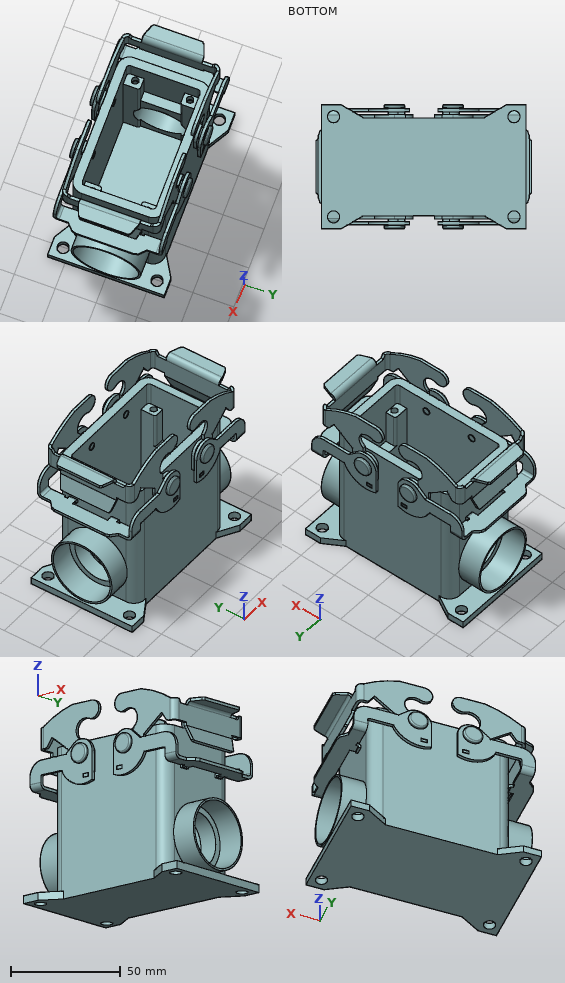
import cadquery as cq
import math

BODY_HALF_X = 34.8
BODY_HALF_Y = 22.5
BODY_TOP = 72.6
BODY_CORNER = 6.0
CAVITY_HALF_X = 30.7
CAVITY_HALF_Y = 18.0
CAVITY_CORNER = 1.6
FLOOR = 3.8
LEDGE_TOP = 41.6
LEDGE_FACE_LEFT = -25.9
LEDGE_FACE_RIGHT = 24.9

POST_TOP = 60.5
POST_FACE_X = 24.9
POST_FACE_Y = 9.9
POST_ROUND = 1.2
SCREW_X = 28.4
SCREW_Y = 13.4
SCREW_RADIUS = 1.7
SCREW_CORE_RADIUS = 1.4
SCREW_LEAD_DEPTH = 4.9
SCREW_DEPTH = 11.9

FOOT_HALF_X = 46.9
FOOT_HALF_Y = 28.5
FOOT_THICK = 3.8
FOOT_TAPER_OUTER_X = 37.9
FOOT_TAPER_INNER_X = 27.6
FOOT_HOLE_INSET = 5.5
FOOT_HOLE_RADIUS = 2.8

ENTRY_Z = 22.0
ENTRY_RADIUS = 17.0
ENTRY_BORE_RADIUS = 16.0
ENTRY_BORE_DEPTH = 12.9
PASSAGE_RADIUS = 13.1

SHEET = 1.5
BEND = 3.0
HOOK_HALF_Y = BODY_HALF_Y + SHEET
GRIP_HALF_Y = 26.6

PIVOT_X = -13.5
PIVOT_Z = 65.8
PIN_RADIUS = 2.9
PIN_HEAD_RADIUS = 4.8
PIN_HEAD_THICK = 1.5
PIN_HEAD_ROUND = 0.7
PIN_END_RADIUS = 1.9
PIN_END_RECESS = 0.4

HOOK_TOP = 91.0
TIP_RADIUS = 4.4
CATCH_RADIUS = 5.2
CATCH_Z = 77.9
HOOK_WALL_X = -41.7
HOOK_WALL_TOP = 83.3
HOOK_WALL_BOTTOM = 73.0
HOOK_HUB_RADIUS = 5.1
HOOK_TAIL_Z = 57.1
HOOK_ARM_X = -22.6
HOOK_NECK_X = -16.2
HOOK_NECK_TOP = 73.2
CATCH_END_ANGLE = 230
TIP_X = -9.2
BACK_START = (-38.9, HOOK_WALL_TOP)
BACK_MIDDLE = (-30.3, 88.0)
BACK_END = (-21.1, HOOK_TOP)
UNDERCUT_LOW = (HOOK_ARM_X, 69.1)
UNDERCUT_PEAK = (-33.6, 77.4)
HEEL_TOP = (-36.0, 73.9)
HEEL_MIDDLE = (-36.6, 73.3)
HEEL_END = (-37.5, HOOK_WALL_BOTTOM)
TAIL_MIDDLE = (-19.7, 59.7)

THUMB_END_X = -49.5
THUMB_TOP = 84.3
THUMB_BEND_X = HOOK_WALL_X + SHEET - BEND
THUMB_BEND_Z = THUMB_TOP - BEND
THUMB_END_HALF_Y = 12.9
THUMB_ROOT_HALF_Y = 14.8
THUMB_CLIP = 1.0
NOTCH_TOP_HALF_Y = 20.9
NOTCH_FLOOR_HALF_Y = 19.7
FLAP_ROOT_Z = 71.5
FLAP_END_X = -44.4
FLAP_END_Z = 64.3
FLAP_ROOT_HALF_Y = 15.7
FLAP_END_HALF_Y = 14.0
FLAP_CLIP = 1.0

GRIP_HUB_RADIUS = 6.9
GRIP_TAIL_CENTER = (-12.1, 65.5)
GRIP_TAIL_RADIUS = 14.4
ARM_TOP = 67.0
ARM_BOTTOM = 59.9
ARM_OUTER_X = -44.6
ARM_INNER_X = -37.9
ARM_CORNER = 7.2
ARM_INNER_ROUND = 0.8
ARM_JOIN_X = -22.7
GRIP_BOTTOM = 53.4
GRIP_LIP_X = -48.4
GRIP_LIP_HALF_Y = 16.3
GRIP_LIP_CLIP_X = 0.7
GRIP_LIP_CLIP_Y = 2.1
GRIP_LIP_ROOT_Y = 19.2
GRIP_MID_X = -40.3
GRIP_NOTCH_X = -38.7
GRIP_NOTCH_HALF_Y = 15.5
TAB_INNER_Y = 9.8
TAB_OUTER_Y = 13.9
TAB_END_X = -36.3
TAB_BOTTOM = 52.8
TAB_BEND = 1.2

LUG_X_MIN = -11.9
LUG_X_MAX = -8.7
LUG_Z_MIN = 54.1
LUG_Z_MAX = 55.8
LUG_PROUD = 0.3


def block(x_range, y_range, z_range):
    """Box given by its limits along each axis."""
    sizes = [high - low for low, high in (x_range, y_range, z_range)]
    corner = (x_range[0], y_range[0], z_range[0])
    return cq.Workplane("XY").box(*sizes, centered=False).translate(corner)


def rounded_block(half_x, half_y, bottom, top, radius):
    """Upright block centred on Z with rounded vertical corners."""
    solid = block((-half_x, half_x), (-half_y, half_y), (bottom, top))
    return solid.edges("|Z").fillet(radius)


def slab(outline, half_y):
    """Extrude an outline drawn on XZ symmetrically about Y = 0."""
    return outline.extrude(half_y, both=True)


def y_cylinder(center, radius, start, end):
    """Cylinder along Y at an (x, z) centre."""
    disc = cq.Workplane("XZ", origin=(0, start, 0)).center(*center).circle(radius)
    return disc.extrude(start - end)


def x_cylinder(radius, start, end):
    """Cylinder along X on the cable entry axis."""
    disc = cq.Workplane("YZ", origin=(start, 0, ENTRY_Z)).circle(radius)
    return disc.extrude(end - start)


def two_sided(solid):
    """The solid together with its mirror image across Y = 0."""
    return solid.union(solid.mirror("XZ"))


def all_quadrants(solid):
    """The solid repeated symmetrically across X = 0 and Y = 0."""
    pair = two_sided(solid)
    return pair.union(pair.mirror("YZ"))


def circles_touch(first, first_radius, second, second_radius):
    """Point where two outside-tangent circles meet."""
    share = first_radius / (first_radius + second_radius)
    return tuple(a + (b - a) * share for a, b in zip(first, second))


def on_circle(center, radius, degrees):
    """Point on a circle at an angle measured from +X."""
    angle = math.radians(degrees)
    return (center[0] + radius * math.cos(angle), center[1] + radius * math.sin(angle))


def foot():
    """Tapered mounting foot at the -X end."""
    half = [
        (-FOOT_HALF_X, FOOT_HALF_Y),
        (-FOOT_TAPER_OUTER_X, FOOT_HALF_Y),
        (-FOOT_TAPER_INNER_X, BODY_HALF_Y),
    ]
    outline = half + [(x, -y) for x, y in reversed(half)]
    hole_x = -FOOT_HALF_X + FOOT_HOLE_INSET
    hole_y = FOOT_HALF_Y - FOOT_HOLE_INSET
    plate = cq.Workplane("XY").polyline(outline).close().extrude(FOOT_THICK)
    holes = cq.Workplane("XY").pushPoints([(hole_x, hole_y), (hole_x, -hole_y)])
    return plate.cut(holes.circle(FOOT_HOLE_RADIUS).extrude(FOOT_THICK))


def post(end_x, face_x, side):
    """Screw post in a cavity corner, with its inner corner rounded."""
    x_range = sorted((end_x, face_x))
    y_range = sorted((side * CAVITY_HALF_Y, side * POST_FACE_Y))
    solid = block(x_range, y_range, (FLOOR, POST_TOP))
    toward_middle_x = ">X" if face_x < 0 else "<X"
    toward_middle_y = "<Y" if side > 0 else ">Y"
    return solid.edges(f"|Z and {toward_middle_x} and {toward_middle_y}").fillet(POST_ROUND)


def cavity():
    """Inner space left free by the end ledges and the screw posts."""
    space = rounded_block(CAVITY_HALF_X, CAVITY_HALF_Y, FLOOR, BODY_TOP, CAVITY_CORNER)
    ends = (
        (-CAVITY_HALF_X, LEDGE_FACE_LEFT, -POST_FACE_X),
        (CAVITY_HALF_X, LEDGE_FACE_RIGHT, POST_FACE_X),
    )
    for end_x, ledge_x, post_x in ends:
        y_range = (-CAVITY_HALF_Y, CAVITY_HALF_Y)
        space = space.cut(block(sorted((end_x, ledge_x)), y_range, (FLOOR, LEDGE_TOP)))
        for side in (-1, 1):
            space = space.cut(post(end_x, post_x, side))
    return space


def housing():
    """Hollow body with its feet, cable entries and insert screw holes."""
    solid = rounded_block(BODY_HALF_X, BODY_HALF_Y, 0, BODY_TOP, BODY_CORNER)
    solid = solid.union(foot()).union(foot().mirror("YZ"))
    solid = solid.union(x_cylinder(ENTRY_RADIUS, -FOOT_HALF_X, FOOT_HALF_X))
    solid = solid.cut(cavity())
    bore_end = FOOT_HALF_X - ENTRY_BORE_DEPTH
    solid = solid.cut(x_cylinder(ENTRY_BORE_RADIUS, -FOOT_HALF_X, -bore_end))
    solid = solid.cut(x_cylinder(ENTRY_BORE_RADIUS, bore_end, FOOT_HALF_X))
    solid = solid.cut(x_cylinder(PASSAGE_RADIUS, -FOOT_HALF_X, FOOT_HALF_X))
    screw_points = [(x, y) for x in (-SCREW_X, SCREW_X) for y in (-SCREW_Y, SCREW_Y)]
    screws = cq.Workplane("XY", origin=(0, 0, POST_TOP)).pushPoints(screw_points)
    solid = solid.cut(screws.circle(SCREW_RADIUS).extrude(-SCREW_LEAD_DEPTH))
    return solid.cut(screws.circle(SCREW_CORE_RADIUS).extrude(-SCREW_DEPTH))


def hook_outline():
    """Side shape of the hook lever from its bent wall to the catch."""
    tip = (TIP_X, HOOK_TOP - TIP_RADIUS)
    catch = (PIVOT_X, CATCH_Z)
    catch_start = circles_touch(tip, TIP_RADIUS, catch, CATCH_RADIUS)
    catch_end = on_circle(catch, CATCH_RADIUS, CATCH_END_ANGLE)
    return (
        cq.Workplane("XZ")
        .moveTo(HOOK_WALL_X, HOOK_WALL_BOTTOM)
        .lineTo(HOOK_WALL_X, HOOK_WALL_TOP)
        .lineTo(*BACK_START)
        .threePointArc(BACK_MIDDLE, BACK_END)
        .lineTo(TIP_X, HOOK_TOP)
        .threePointArc(on_circle(tip, TIP_RADIUS, 0), catch_start)
        .threePointArc(on_circle(catch, CATCH_RADIUS, 180), catch_end)
        .lineTo(HOOK_NECK_X, HOOK_NECK_TOP)
        .lineTo(HOOK_NECK_X, PIVOT_Z)
        .lineTo(HOOK_ARM_X, PIVOT_Z)
        .lineTo(*UNDERCUT_LOW)
        .lineTo(*UNDERCUT_PEAK)
        .lineTo(*HEEL_TOP)
        .threePointArc(HEEL_MIDDLE, HEEL_END)
        .close()
    )


def hook_tail_outline():
    """Tail below the hook lever's hub, straight along its inner edge."""
    edge_x = PIVOT_X + HOOK_HUB_RADIUS
    return (
        cq.Workplane("XZ")
        .moveTo(edge_x, PIVOT_Z)
        .lineTo(edge_x, HOOK_TAIL_Z)
        .lineTo(PIVOT_X, HOOK_TAIL_Z)
        .threePointArc(TAIL_MIDDLE, (HOOK_ARM_X, PIVOT_Z))
        .close()
    )


def hook_plates():
    """U-shaped sheet wrapped round the housing end, trimmed to the hook outline."""
    z_range = (HOOK_TAIL_Z, HOOK_TOP)
    outer = block((HOOK_WALL_X, 0), (-HOOK_HALF_Y, HOOK_HALF_Y), z_range)
    inner = block((HOOK_WALL_X + SHEET, 0), (-BODY_HALF_Y, BODY_HALF_Y), z_range)
    outer = outer.edges("|Z and <X").fillet(BEND)
    inner = inner.edges("|Z and <X").fillet(BEND - SHEET)
    hub = cq.Workplane("XZ").center(PIVOT_X, PIVOT_Z).circle(HOOK_HUB_RADIUS)
    side = slab(hook_outline(), HOOK_HALF_Y)
    side = side.union(slab(hub, HOOK_HALF_Y)).union(slab(hook_tail_outline(), HOOK_HALF_Y))
    notch_points = [
        (-NOTCH_TOP_HALF_Y, HOOK_WALL_TOP),
        (-NOTCH_FLOOR_HALF_Y, THUMB_BEND_Z),
        (NOTCH_FLOOR_HALF_Y, THUMB_BEND_Z),
        (NOTCH_TOP_HALF_Y, HOOK_WALL_TOP),
    ]
    notch = cq.Workplane("YZ", origin=(HOOK_WALL_X, 0, 0)).polyline(notch_points).close().extrude(SHEET)
    return outer.cut(inner).intersect(side).cut(notch)


def thumb_plate():
    """Plate bent outward from the top of the hook lever wall."""
    center = (THUMB_BEND_X, THUMB_BEND_Z)
    profile = (
        cq.Workplane("XZ")
        .moveTo(THUMB_END_X, THUMB_TOP)
        .lineTo(THUMB_BEND_X, THUMB_TOP)
        .threePointArc(on_circle(center, BEND, 45), on_circle(center, BEND, 0))
        .lineTo(HOOK_WALL_X, THUMB_BEND_Z)
        .threePointArc(on_circle(center, BEND - SHEET, 45), on_circle(center, BEND - SHEET, 90))
        .lineTo(THUMB_END_X, THUMB_TOP - SHEET)
        .close()
    )
    half = [
        (HOOK_WALL_X + SHEET, THUMB_ROOT_HALF_Y),
        (THUMB_BEND_X, THUMB_ROOT_HALF_Y),
        (THUMB_END_X + THUMB_CLIP, THUMB_END_HALF_Y),
        (THUMB_END_X, THUMB_END_HALF_Y - THUMB_CLIP),
    ]
    outline = half + [(x, -y) for x, y in reversed(half)]
    plan = cq.Workplane("XY").polyline(outline).close().extrude(HOOK_TOP)
    return slab(profile, THUMB_ROOT_HALF_Y).intersect(plan)


def flap():
    """Flap slanting outward and down from the hook lever wall."""
    wall_inner_x = HOOK_WALL_X + SHEET
    run = HOOK_WALL_X - FLAP_END_X
    drop = FLAP_ROOT_Z - FLAP_END_Z
    length = math.hypot(run, drop)
    step_x = SHEET * drop / length
    step_z = SHEET * run / length
    profile = (
        cq.Workplane("XZ")
        .moveTo(HOOK_WALL_X, HOOK_WALL_BOTTOM)
        .lineTo(wall_inner_x, HOOK_WALL_BOTTOM)
        .lineTo(wall_inner_x, FLAP_ROOT_Z)
        .lineTo(FLAP_END_X + step_x, FLAP_END_Z - step_z)
        .lineTo(FLAP_END_X, FLAP_END_Z)
        .lineTo(HOOK_WALL_X, FLAP_ROOT_Z)
        .close()
    )
    bottom = FLAP_END_Z - step_z
    half = [
        (FLAP_ROOT_HALF_Y, HOOK_WALL_BOTTOM),
        (FLAP_ROOT_HALF_Y, FLAP_ROOT_Z),
        (FLAP_END_HALF_Y, bottom + FLAP_CLIP),
        (FLAP_END_HALF_Y - FLAP_CLIP, bottom),
    ]
    outline = half + [(-y, z) for y, z in reversed(half)]
    front = cq.Workplane("YZ").polyline(outline).close().extrude(2 * FLAP_END_X)
    return slab(profile, FLAP_ROOT_HALF_Y).intersect(front)


def hook_lever():
    """Hook lever at the -X end."""
    return hook_plates().union(thumb_plate()).union(flap())


def grip_side():
    """Side plate of the grip lever at -Y: arm, hub and tail."""
    bend_z = GRIP_BOTTOM + BEND
    corner = (ARM_OUTER_X + ARM_CORNER, ARM_TOP - ARM_CORNER)
    inner_corner = (ARM_INNER_X + ARM_INNER_ROUND, ARM_BOTTOM - ARM_INNER_ROUND)
    pivot = (PIVOT_X, PIVOT_Z)
    tail_x, tail_z = GRIP_TAIL_CENTER
    tail_rise = tail_z - ARM_BOTTOM
    tail_start_x = tail_x - math.sqrt(GRIP_TAIL_RADIUS**2 - tail_rise**2)
    edge_x = PIVOT_X + GRIP_HUB_RADIUS
    tail_end_z = tail_z - math.sqrt(GRIP_TAIL_RADIUS**2 - (edge_x - tail_x) ** 2)
    join_run = PIVOT_X - ARM_JOIN_X
    join_rise = ARM_TOP - PIVOT_Z
    join_angle = 180 - math.degrees(math.atan2(join_rise, join_run))
    join_reach = math.hypot(join_run, join_rise)
    tangent_angle = join_angle - math.degrees(math.acos(GRIP_HUB_RADIUS / join_reach))
    return (
        cq.Workplane("XZ", origin=(0, SHEET - GRIP_HALF_Y, 0))
        .moveTo(ARM_OUTER_X, bend_z)
        .lineTo(ARM_OUTER_X, corner[1])
        .threePointArc(on_circle(corner, ARM_CORNER, 135), (corner[0], ARM_TOP))
        .lineTo(ARM_JOIN_X, ARM_TOP)
        .lineTo(*on_circle(pivot, GRIP_HUB_RADIUS, tangent_angle))
        .threePointArc(on_circle(pivot, GRIP_HUB_RADIUS, 60), (edge_x, PIVOT_Z))
        .lineTo(edge_x, tail_end_z)
        .threePointArc(on_circle(GRIP_TAIL_CENTER, GRIP_TAIL_RADIUS, 230), (tail_start_x, ARM_BOTTOM))
        .lineTo(inner_corner[0], ARM_BOTTOM)
        .threePointArc(on_circle(inner_corner, ARM_INNER_ROUND, 135), (ARM_INNER_X, inner_corner[1]))
        .lineTo(ARM_INNER_X, bend_z)
        .close()
        .extrude(SHEET)
    )


def grip_bar():
    """Crossbar joining the arms, bent up at both ends."""
    x_range = (GRIP_LIP_X, ARM_INNER_X)
    bend_z = GRIP_BOTTOM + BEND
    inner_half_y = GRIP_HALF_Y - SHEET
    outer = block(x_range, (-GRIP_HALF_Y, GRIP_HALF_Y), (GRIP_BOTTOM, ARM_TOP))
    inner = block(x_range, (-inner_half_y, inner_half_y), (GRIP_BOTTOM + SHEET, ARM_TOP))
    outer = outer.edges("|X and <Z").fillet(BEND)
    inner = inner.edges("|X and <Z").fillet(BEND - SHEET)
    half = [
        (ARM_INNER_X, GRIP_HALF_Y),
        (ARM_OUTER_X, GRIP_HALF_Y),
        (ARM_OUTER_X, GRIP_LIP_ROOT_Y),
        (GRIP_LIP_X + GRIP_LIP_CLIP_X, GRIP_LIP_HALF_Y),
        (GRIP_LIP_X, GRIP_LIP_HALF_Y - GRIP_LIP_CLIP_Y),
    ]
    inner_edge = [
        (GRIP_MID_X, TAB_INNER_Y),
        (ARM_INNER_X, TAB_INNER_Y),
        (ARM_INNER_X, TAB_OUTER_Y),
        (GRIP_NOTCH_X, TAB_OUTER_Y),
        (GRIP_NOTCH_X, GRIP_NOTCH_HALF_Y),
        (ARM_INNER_X, GRIP_NOTCH_HALF_Y),
    ]
    outline = half + [(x, -y) for x, y in reversed(half)]
    outline += [(x, -y) for x, y in reversed(inner_edge)] + inner_edge
    plan = cq.Workplane("XY").polyline(outline).close().extrude(bend_z)
    return outer.cut(inner).intersect(plan)


def grip_tab():
    """Small tab bent down from the crossbar's inner edge, at +Y."""
    top = GRIP_BOTTOM + SHEET
    tab = block((ARM_INNER_X, TAB_END_X), (TAB_INNER_Y, TAB_OUTER_Y), (TAB_BOTTOM, top))
    tab = tab.edges("|Y and >X and >Z").fillet(TAB_BEND)
    hollow_x = (ARM_INNER_X, TAB_END_X - TAB_BEND)
    return tab.cut(block(hollow_x, (TAB_INNER_Y, TAB_OUTER_Y), (TAB_BOTTOM, GRIP_BOTTOM)))


def stop_lug():
    """Lug standing through the grip lever tail at -Y."""
    y_range = (-GRIP_HALF_Y - LUG_PROUD, -HOOK_HALF_Y)
    return block((LUG_X_MIN, LUG_X_MAX), y_range, (LUG_Z_MIN, LUG_Z_MAX))


def grip_lever():
    """Grip lever at the -X end."""
    side = grip_side().union(stop_lug())
    return grip_bar().union(two_sided(side)).union(two_sided(grip_tab()))


def pin():
    """Headed pin at -X, -Y carrying both levers."""
    center = (PIVOT_X, PIVOT_Z)
    head = y_cylinder(center, PIN_HEAD_RADIUS, -FOOT_HALF_Y, -FOOT_HALF_Y + PIN_HEAD_THICK)
    head = head.faces("<Y").edges().fillet(PIN_HEAD_ROUND)
    return head.union(y_cylinder(center, PIN_RADIUS, PIN_HEAD_THICK - FOOT_HALF_Y, -BODY_HALF_Y))


def pin_end_recess():
    """Shallow recess in the cavity wall where the pin ends."""
    start = -CAVITY_HALF_Y - PIN_END_RECESS
    return y_cylinder((PIVOT_X, PIVOT_Z), PIN_END_RADIUS, start, -CAVITY_HALF_Y)


levers = hook_lever().union(grip_lever())
result = housing().union(levers).union(levers.mirror("YZ"))
result = result.union(all_quadrants(pin())).cut(all_quadrants(pin_end_recess()))